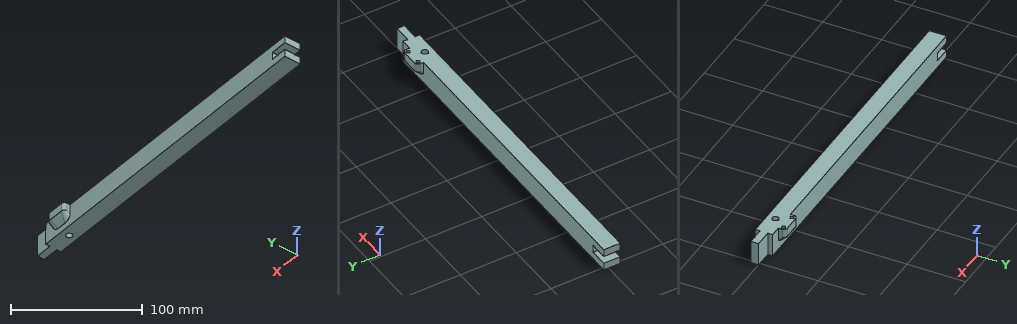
import cadquery as cq
import math

length = 305.0
height = 20.0
body_width = 15.0

joint_depth = 15.2
joint_thickness = height / 3
body_end = length - joint_depth

lug_width = 20.0
lug_reach = 6.0
lug_edge_height = 7.5
lug_slope_height = 6.7
lug_corner_radius = 3.0
lug_foot_radius = 6.0
lug_root_y = 3.7
lug_center_x = 270.2

pivot_diameter = 5.5
pin_diameter = 3.0
pin_inset = 3.0
pin_depth = 6.0


def make_body():
    """Bar with a centred tongue and an open slot across its width."""
    body = cq.Workplane("XY").box(body_end, body_width, height, centered=False)
    tongue = (
        cq.Workplane("XY")
        .box(joint_depth, joint_thickness, height, centered=False)
        .translate((body_end, (body_width - joint_thickness) / 2, 0))
    )
    slot = (
        cq.Workplane("XY")
        .box(joint_depth, body_width, joint_thickness, centered=False)
        .translate((0, 0, (height - joint_thickness) / 2))
    )
    return body.union(tongue).cut(slot)


def lug_outline(z, front_y, radius):
    """Lug outline at height z, rounded at its two +Y corners and rooted inside the bar."""
    half_width = lug_width / 2
    diagonal = radius * math.sqrt(0.5)
    corner_x = half_width - radius
    corner_y = front_y - radius
    return (
        cq.Workplane("XY", origin=(lug_center_x, 0, z))
        .moveTo(-half_width, lug_root_y)
        .lineTo(half_width, lug_root_y)
        .lineTo(half_width, corner_y)
        .threePointArc((corner_x + diagonal, corner_y + diagonal), (corner_x, front_y))
        .lineTo(-corner_x, front_y)
        .threePointArc((-corner_x - diagonal, corner_y + diagonal), (-half_width, corner_y))
        .close()
    )


def make_lug():
    """Upright lug on an underside that slopes into the bar while its corners grow rounder."""
    edge_z = height - lug_edge_height
    outer_y = body_width + lug_reach
    upright = lug_outline(edge_z, outer_y, lug_corner_radius).extrude(lug_edge_height)
    top_wire = lug_outline(edge_z, outer_y, lug_corner_radius).val()
    bottom_wire = lug_outline(edge_z - lug_slope_height, body_width, lug_foot_radius).val()
    support = cq.Solid.makeLoft([bottom_wire, top_wire], True)
    return upright.union(cq.Workplane(support))


def make_holes():
    """Through pivot hole in the bar and a blind pin hole near each lug corner."""
    pivot = (
        cq.Workplane("XY")
        .center(lug_center_x, body_width / 2)
        .circle(pivot_diameter / 2)
        .extrude(height)
    )
    pin_offset = lug_width / 2 - pin_inset
    pin_y = body_width + lug_reach - pin_inset
    pins = (
        cq.Workplane("XY", origin=(0, 0, height))
        .pushPoints([(lug_center_x + side * pin_offset, pin_y) for side in (-1, 1)])
        .circle(pin_diameter / 2)
        .extrude(-pin_depth)
    )
    return pivot.union(pins)


result = make_body().union(make_lug()).cut(make_holes())